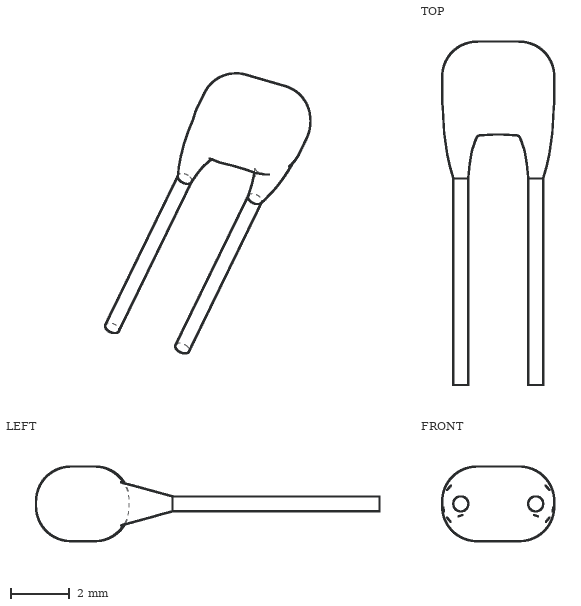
import cadquery as cq
import math

total_length = 11.66
body_width = 3.81
body_thickness = 2.54
edge_radius = 1.19
body_depth = 3.16
base_arc_radius = 6.65

lead_pitch = 2.54
lead_diameter = 0.51
lead_exposed_start = 4.64

root_outer_x = 1.89
root_outer_y = -2.1
root_inner_x = 0.61
root_inner_y = -3.01
root_half_thickness = 0.82
waist_outer_x = 1.77
waist_outer_y = -3.61
waist_inner_x = 0.9
waist_inner_y = -3.8
waist_half_thickness = 0.51
root_blend_radius = 0.12
joint_inner_x = 0.694
joint_near_y = -2.17
joint_far_y = -3.26


def rounded_body():
    """Pillow-shaped block with a concave base between the leads."""
    half_width = body_width / 2
    arc_rise = base_arc_radius - math.sqrt(base_arc_radius**2 - half_width**2)
    corner_y = -body_depth - arc_rise
    block = (
        cq.Workplane("XY")
        .workplane(offset=-body_thickness / 2)
        .moveTo(-half_width, 0)
        .lineTo(half_width, 0)
        .lineTo(half_width, corner_y)
        .threePointArc((0, -body_depth), (-half_width, corner_y))
        .close()
        .extrude(body_thickness)
    )
    stadium_block = block.edges("|Y").fillet(edge_radius)
    return stadium_block.faces("<Y or >Y").edges().fillet(edge_radius)


def neck_section(outer_x, outer_y, inner_x, inner_y, half_thickness):
    """Elliptical wire spanning from the outer to the inner side of a neck."""
    across = cq.Vector(inner_x - outer_x, inner_y - outer_y, 0)
    centre = cq.Vector((outer_x + inner_x) / 2, (outer_y + inner_y) / 2, 0)
    normal = across.cross(cq.Vector(0, 0, 1))
    thickness_axis = cq.Vector(0, 0, 1)
    ellipse = cq.Edge.makeEllipse(
        half_thickness, across.Length / 2, centre, normal, thickness_axis, angle1=90, angle2=450
    )
    return cq.Wire.assembleEdges([ellipse])


def coating_neck():
    """Curved taper from the body down to the lead on the +X side."""
    lead_x = lead_pitch / 2
    lead_radius = lead_diameter / 2
    tip_y = -lead_exposed_start
    root = neck_section(root_outer_x, root_outer_y, root_inner_x, root_inner_y, root_half_thickness)
    waist = neck_section(waist_outer_x, waist_outer_y, waist_inner_x, waist_inner_y, waist_half_thickness)
    tip = neck_section(lead_x + lead_radius, tip_y, lead_x - lead_radius, tip_y, lead_radius)
    return cq.Workplane(cq.Solid.makeLoft([root, waist, tip]))


def joint_selector(side):
    """Box that picks the joint curve of the neck on one side (+1 or -1)."""
    return cq.selectors.BoxSelector(
        (side * joint_inner_x, joint_far_y, -body_thickness / 2),
        (side * body_width / 2, joint_near_y, body_thickness / 2),
    )


def coated_body():
    """Coating as one solid: pillow body plus its two mirrored necks."""
    neck = coating_neck()
    coating = rounded_body().union(neck).union(neck.mirror("YZ"))
    return coating.edges(joint_selector(1) + joint_selector(-1)).fillet(root_blend_radius)


def lead(x):
    """Round wire starting at the tip of a coating neck."""
    start = cq.Vector(x, -lead_exposed_start, 0)
    return cq.Solid.makeCylinder(
        lead_diameter / 2, total_length - lead_exposed_start, start, cq.Vector(0, -1, 0)
    )


coating = coated_body()
leads = [lead(side * lead_pitch / 2) for side in (-1, 1)]

result = cq.Compound.makeCompound([coating.solids().val(), *leads])